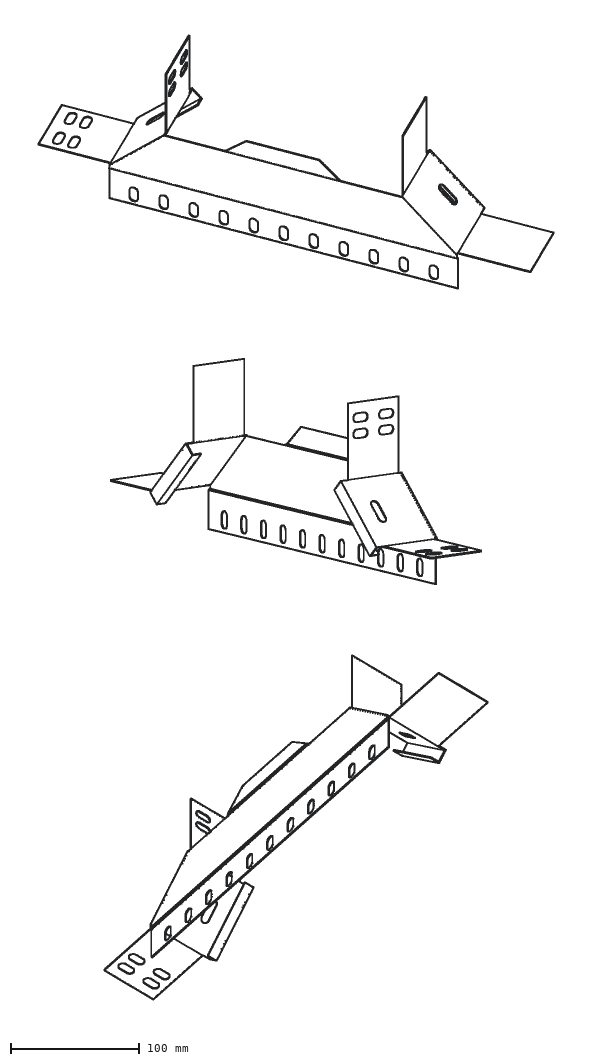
import cadquery as cq
import math

length = 410.0
thickness = 1.0
joggle_step = 1.2
overall_depth = 60.5
depth = overall_depth - joggle_step

height = 141.5
lower_joggle_bottom = 30.8
lower_joggle_top = 32.0
side_tab_top = 35.5
web_top = 80.5
upper_joggle_top = web_top + joggle_step
tongue_top = 97.5

flange_half = 145.0
post_outer = 99.3
tongue_root_half = 51.0
tongue_base_half = 48.0
tongue_tip_half = 30.5

wing_low_x = 144.8
wing_run = wing_low_x - post_outer
wing_top = side_tab_top + wing_run
wing_length = wing_run * math.sqrt(2)
wing_web_x = wing_low_x - (web_top - side_tab_top)

tab_width = 49.2
tab_rear_setback = 7.5
tab_rear = depth - tab_rear_setback
tab_front = tab_rear - tab_width
tab_middle = (tab_front + tab_rear) / 2
lip_drop = 12.0
lip_return = 8.5

slot_width = 7.0
slot_length = 14.0
slot_reach = 4.0
flange_slot_count = 11
slot_pitch = 25.0
flange_slot_z = 10.3
tab_slot_inset = 12.5
tab_slot_row_pitch = 12.7
wing_slot_length = 20.0
wing_slot_rear_offset = 19.5


def extrude_along_y(points, y_start, y_end):
    """Extrude an XZ outline between two Y positions."""
    plane = cq.Plane(origin=(0, y_start, 0), xDir=(1, 0, 0), normal=(0, -1, 0))
    return cq.Workplane(plane).polyline(points).close().extrude(y_start - y_end)


def make_web():
    """Slotted flange, web and tongue, stepped backwards below and forwards above by a joggle."""
    front_face = [
        (joggle_step, 0),
        (joggle_step, lower_joggle_bottom),
        (0, lower_joggle_top),
        (0, web_top),
        (-joggle_step, upper_joggle_top),
        (-joggle_step, tongue_top),
    ]
    rear_face = [(y + thickness, z) for y, z in reversed(front_face)]
    stepped_sheet = (
        cq.Workplane("YZ")
        .polyline(front_face + rear_face)
        .close()
        .extrude(flange_half, both=True)
    )
    right_edge = [
        (flange_half, 0),
        (flange_half, lower_joggle_top),
        (wing_low_x, lower_joggle_top),
        (wing_low_x, side_tab_top),
        (wing_web_x, web_top),
        (tongue_root_half, web_top),
        (tongue_base_half, upper_joggle_top),
        (tongue_tip_half, tongue_top),
    ]
    left_edge = [(-x, z) for x, z in reversed(right_edge)]
    outline = extrude_along_y(right_edge + left_edge, -joggle_step, joggle_step + thickness)
    return stepped_sheet.intersect(outline)


def make_tabs():
    """Side tab, slope and upright tab of the right end as one bent strip."""
    bend_inset = thickness * math.tan(math.pi / 8)
    strip = [
        (length / 2, side_tab_top),
        (wing_low_x, side_tab_top),
        (post_outer, wing_top),
        (post_outer, height),
        (post_outer - thickness, height),
        (post_outer - thickness, wing_top - bend_inset),
        (wing_low_x - bend_inset, side_tab_top - thickness),
        (length / 2, side_tab_top - thickness),
    ]
    return extrude_along_y(strip, tab_front, tab_rear)


wing_plane = cq.Plane(
    origin=((post_outer + wing_low_x) / 2, 0, (side_tab_top + wing_top) / 2),
    xDir=(1, 0, -1),
    normal=(1, 0, 1),
)


def make_wing():
    """Sloping wing with a C-shaped fold along its rear edge."""
    def wing_plate(y_start, y_end, bottom, top):
        return (
            cq.Workplane(wing_plane)
            .workplane(offset=bottom)
            .center(0, (y_start + y_end) / 2)
            .rect(wing_length, y_end - y_start)
            .extrude(top - bottom)
        )

    plate = wing_plate(0, depth, -thickness, 0)
    rear_wall = wing_plate(depth - thickness, depth, -lip_drop, 0)
    return_lip = wing_plate(depth - lip_return, depth, -lip_drop, thickness - lip_drop)
    return plate.union(rear_wall).union(return_lip)


def flange_slots():
    return (
        cq.Workplane("XZ", origin=(0, 0, flange_slot_z))
        .rarray(slot_pitch, 4, flange_slot_count, 1)
        .slot2D(slot_length, slot_width, 90)
        .extrude(slot_reach, both=True)
    )


def wing_slot():
    return (
        cq.Workplane(wing_plane)
        .center(0, depth - wing_slot_rear_offset)
        .slot2D(wing_slot_length, slot_width)
        .extrude(slot_reach, both=True)
    )


def tab_slots(plane_name, centre):
    """Two by two slots, long in Y, through a tab lying in the named plane."""
    return (
        cq.Workplane(plane_name, origin=centre)
        .rarray(tab_slot_row_pitch, slot_pitch, 2, 2)
        .slot2D(slot_length, slot_width, 90)
        .extrude(slot_reach, both=True)
    )


right_end = make_tabs().union(make_wing()).cut(wing_slot())
left_end = right_end.mirror("YZ")

tab_slot_centre = tab_slot_inset + tab_slot_row_pitch / 2
side_tab_slots = tab_slots("XY", (tab_slot_centre - length / 2, tab_middle, side_tab_top))
post_slots = tab_slots("ZY", (-post_outer, tab_middle, height - tab_slot_centre))
left_end = left_end.cut(side_tab_slots).cut(post_slots)

result = make_web().cut(flange_slots()).union(right_end).union(left_end)